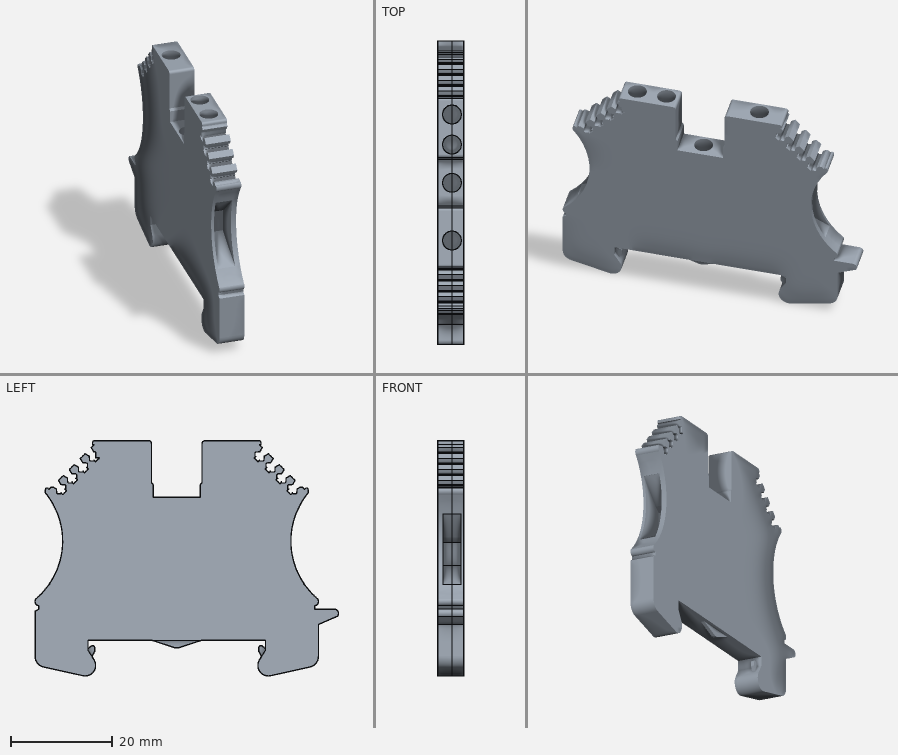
import cadquery as cq
import math


thickness = 5.15
seam_x = 2.8
height = 46.5
total_length = 60.0
half_length = 28.0

block_outer_y = 16.7
block_edge_radius = 0.5
block_lip_depth = 0.8
gap_floor_z = 35.35
gap_half_width = 5.0
gap_floor_half_width = 4.6
gap_step_top_z = 38.2
gap_step_bottom_z = 37.75
gap_edge_radius = 0.6

slot_count = 4
slot_pitch = 2.15
first_slot_y = 17.5
first_slot_z = 44.5
shoulder_sum = first_slot_y + first_slot_z
slot_side = [
    (-0.3, 1.5),
    (0, 1.4),
    (1.6, 1.0),
    (2.6, 1.9),
    (2.9, 1.9),
    (3.7, 1.1),
    (3.5, 0.8),
    (4.3, 0.9),
]
stop_y = 16.0
stop_bottom_z = 43.1
stop_depth = 1.6
stop_height = 2.4

last_tooth_top_z = 37.3
last_tooth_end_y = 24.85
nub_valley_y = 25.25
nub_valley_z = 36.9
nub_top_z = 37.15
nub_top_start_y = 25.5
nub_top_end_y = 25.8
nub_tip_y = 26.05
nub_tip_z = 36.6

flank_radius = 15.0
flank_waist_y = 22.55
flank_centre_z = 26.65
flank_top_z = 35.8
flank_bottom_z = 15.2

lip_tip_z = 14.5
notch_y = 27.3
notch_top_z = 13.85
notch_bottom_z = 13.2
notch_lower_edge_z = 12.8

tongue_tip_y = total_length - half_length
tongue_tip_z = 12.5
tongue_top_end_y = 31.2
tongue_bottom_end_y = 31.75
tongue_bottom_end_z = 11.75
tongue_root_z = 10.15

seat_z = 7.0
seat_half_width = 17.5
toe_slope_top_z = 5.05
heel_z = 2.1
toe_y = 13.6
toe_z = -1.1
heel_radius = 2.15
toe_radius = 2.1

hole_radius = 1.85
hole_depth = 6.0
block_hole_ys = [13.5, 7.55, -11.4]

pocket_x0 = 1.1
pocket_x1 = 4.55
pocket_wall_y = 17.2
pocket_wall_top_z = 26.4
pocket_wall_bottom_z = 21.85
pocket_knee_y = 18.55
pocket_knee_z = 27.3
pocket_top_y = 23.5
pocket_top_z = 32.05
pocket_floor_y = 25.45
pocket_floor_z = 17.95

grip_x0 = 0.9
grip_thickness = 0.7
hook_root_z = 5.4
hook_top_z = 6.0
hook_top_outer_y = 16.8
hook_top_inner_y = 16.45
hook_front_y = 16.2
hook_front_top_z = 5.65
hook_front_bottom_z = 4.85
hook_heel_y = 16.75
pad_half_width = 4.9
pad_tip_half_width = 0.35
pad_tip_z = 5.5


def prism(points, x0, x1):
    """Solid with a straight-sided YZ outline between x0 and x1."""
    return cq.Workplane("YZ", origin=(x0, 0, 0)).polyline(points).close().extrude(x1 - x0)


def flank_y(z):
    """Distance of the concave flank from the middle plane at height z."""
    return flank_waist_y + flank_radius - math.sqrt(flank_radius**2 - (z - flank_centre_z) ** 2)


def toe_slope_z(y):
    """Height of the sloped inner face of a foot at distance y from the middle plane."""
    slope = (toe_slope_top_z - toe_z) / (seat_half_width - toe_y)
    return toe_slope_top_z + slope * (y - seat_half_width)


def half_outline(with_tongue):
    """Outline of the +Y half of the housing, from the gap outwards and down to the rail seat."""
    lip_z = height - block_lip_depth
    corner_y = block_outer_y - block_edge_radius
    corner_z = height - block_edge_radius
    round_middle = block_edge_radius * math.sqrt(0.5)
    last_slot_y = first_slot_y + (slot_count - 1) * slot_pitch
    outline = (
        cq.Workplane("YZ")
        .moveTo(0, gap_floor_z)
        .lineTo(gap_floor_half_width, gap_floor_z)
        .lineTo(gap_floor_half_width, gap_step_bottom_z)
        .lineTo(gap_half_width, gap_step_top_z)
        .lineTo(gap_half_width, height)
        .lineTo(corner_y, height)
        .threePointArc((corner_y + round_middle, corner_z + round_middle), (block_outer_y, corner_z))
        .lineTo(block_outer_y, lip_z)
        .lineTo(shoulder_sum - lip_z, lip_z)
        .lineTo(last_slot_y, shoulder_sum - last_slot_y)
        .lineTo(last_slot_y, last_tooth_top_z)
        .lineTo(last_tooth_end_y, last_tooth_top_z)
        .lineTo(nub_valley_y, nub_valley_z)
        .lineTo(nub_top_start_y, nub_top_z)
        .lineTo(nub_top_end_y, nub_top_z)
        .threePointArc((nub_tip_y, nub_tip_z), (flank_y(flank_top_z), flank_top_z))
        .threePointArc((flank_waist_y, flank_centre_z), (flank_y(flank_bottom_z), flank_bottom_z))
        .threePointArc((half_length, lip_tip_z), (notch_y, notch_top_z))
        .lineTo(notch_y, notch_bottom_z)
    )
    if with_tongue:
        outline = (
            outline.lineTo(tongue_top_end_y, notch_bottom_z)
            .threePointArc((tongue_tip_y, tongue_tip_z), (tongue_bottom_end_y, tongue_bottom_end_z))
            .lineTo(half_length, tongue_root_z)
        )
    else:
        outline = outline.lineTo(half_length, notch_lower_edge_z)
    return (
        outline.lineTo(half_length, heel_z)
        .lineTo(toe_y, toe_z)
        .lineTo(seat_half_width, toe_slope_top_z)
        .lineTo(seat_half_width, seat_z)
        .lineTo(0, seat_z)
        .close()
    )


def marker_slot(index):
    """Undercut slot through the thickness, pointing inwards at 45 degrees."""
    mouth_y = first_slot_y + index * slot_pitch
    mouth_z = first_slot_z - index * slot_pitch
    far_side = [(depth, -half_width) for depth, half_width in reversed(slot_side)]
    diagonal = math.sqrt(0.18)
    points = [
        (mouth_y + diagonal * (across - depth), mouth_z - diagonal * (across + depth))
        for depth, across in slot_side + far_side
    ]
    return prism(points, 0, thickness)


def wire_pocket():
    """Funnel that opens in the flank, closed at both sides."""
    points = [
        (half_length, pocket_top_z),
        (pocket_top_y, pocket_top_z),
        (pocket_knee_y, pocket_knee_z),
        (pocket_wall_y, pocket_wall_top_z),
        (pocket_wall_y, pocket_wall_bottom_z),
        (pocket_floor_y, pocket_floor_z),
        (half_length, pocket_floor_z),
    ]
    return prism(points, pocket_x0, pocket_x1)


def housing_half(with_tongue):
    """The +Y half of the housing across the full thickness."""
    half = half_outline(with_tongue).extrude(thickness)
    rounded_edges = [
        (gap_half_width, height, gap_edge_radius),
        (half_length, heel_z, heel_radius),
        (toe_y, toe_z, toe_radius),
    ]
    for y, z, radius in rounded_edges:
        nearest = cq.selectors.NearestToPointSelector((thickness / 2, y, z))
        half = half.edges("|X").edges(nearest).fillet(radius)
    for index in range(slot_count):
        half = half.cut(marker_slot(index))
    return half.cut(wire_pocket())


def slot_stop():
    """Square-cornered filling that narrows the first slot on the +Y side."""
    return cq.Workplane("XY", origin=(0, stop_y - stop_depth, stop_bottom_z)).box(
        thickness, stop_depth, stop_height, centered=False
    )


def screw_hole(y, top_z):
    bottom = cq.Workplane("XY", origin=(seam_x, y, top_z - hole_depth))
    return bottom.circle(hole_radius).extrude(hole_depth)


def whole_housing():
    """Both shells together, before the cut along the seam."""
    tongue_half = housing_half(True).mirror("XZ")
    body = housing_half(False).union(tongue_half).union(slot_stop())
    for y in block_hole_ys:
        body = body.cut(screw_hole(y, height))
    return body.cut(screw_hole(0, gap_floor_z))


def shell(body, x0, x1):
    """The part of the housing between x0 and x1."""
    slab = cq.Workplane("XY", origin=(x0, -total_length, 0)).box(
        x1 - x0, 2 * total_length, 2 * height, centered=(False, False, True)
    )
    return body.intersect(slab)


def rail_hook(side):
    """Hook on the inner face of a foot: side is 1 for the +Y foot and -1 for the -Y foot."""
    points = [
        (side * seat_half_width, hook_root_z),
        (side * hook_top_outer_y, hook_top_z),
        (side * hook_top_inner_y, hook_top_z),
        (side * hook_front_y, hook_front_top_z),
        (side * hook_front_y, hook_front_bottom_z),
        (side * hook_heel_y, toe_slope_z(hook_heel_y)),
        (side * seat_half_width, toe_slope_top_z),
    ]
    return prism(points, grip_x0, grip_x0 + grip_thickness)


def pressure_pad():
    """Shallow wedge below the middle of the rail seat."""
    points = [
        (pad_half_width, seat_z),
        (pad_tip_half_width, pad_tip_z),
        (-pad_tip_half_width, pad_tip_z),
        (-pad_half_width, seat_z),
    ]
    return prism(points, grip_x0, grip_x0 + grip_thickness)


housing = whole_housing()
base_shell = shell(housing, 0, seam_x)
cover_shell = shell(housing, seam_x, thickness)
hooks = [rail_hook(side) for side in (1, -1)]
pad = pressure_pad()

result = cq.Compound.makeCompound(
    [base_shell.val(), cover_shell.val(), *[hook.val() for hook in hooks], pad.val()]
)